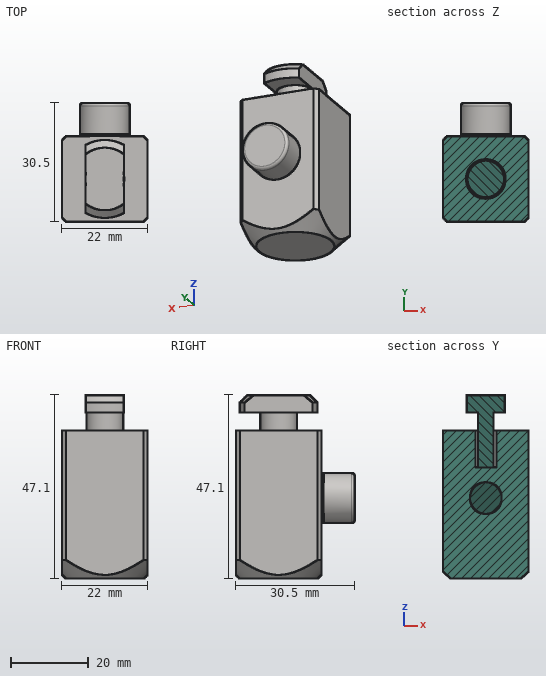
import cadquery as cq

side = 22.0
housing_height = 38.0
edge_bevel = 1.1
foot_radius = 10.05

total_height = 47.1
bolt_head_length = 20.0
bolt_head_width = 9.8
bolt_head_thickness = 4.5
bolt_head_chamfer = 2.0
stem_diameter = 9.5
bore_diameter = 10.05
bore_depth = 9.4

screw_z = 20.7
screw_reach = 8.53
screw_head_diameter = 12.85
screw_head_length = 8.0
screw_head_round = 0.8
shank_diameter = 8.0
shank_depth = 7.05

bolt_head_base = total_height - bolt_head_thickness
bore_floor = housing_height - bore_depth
back_face = side / 2


def along_y(diameter, start, end):
    """Cylinder on the screw axis between two Y positions."""
    plane = cq.Plane(origin=(0, start, screw_z), xDir=(1, 0, 0), normal=(0, 1, 0))
    return cq.Workplane(plane).circle(diameter / 2).extrude(end - start)


def upright_cylinder(diameter, bottom, top):
    """Cylinder on the Z axis between two heights."""
    return cq.Workplane("XY").workplane(offset=bottom).circle(diameter / 2).extrude(top - bottom)


def make_housing():
    block = cq.Workplane("XY").rect(side, side).extrude(housing_height)
    block = block.edges("|Z").chamfer(edge_bevel)

    envelope_radius = side
    envelope = (
        cq.Workplane("XZ")
        .polyline([
            (0, 0),
            (foot_radius, 0),
            (envelope_radius, envelope_radius - foot_radius),
            (envelope_radius, housing_height),
            (0, housing_height),
        ])
        .close()
        .revolve(360, (0, 0), (0, 1))
    )
    bolt_bore = upright_cylinder(bore_diameter, bore_floor, housing_height)
    screw_hole = along_y(shank_diameter, back_face - shank_depth, back_face)
    return block.intersect(envelope).cut(bolt_bore).cut(screw_hole)


def make_t_bolt():
    disc = upright_cylinder(bolt_head_length, bolt_head_base, total_height)
    disc = disc.faces(">Z").edges().chamfer(bolt_head_chamfer)
    flats = (
        cq.Workplane("XY")
        .workplane(offset=bolt_head_base)
        .rect(bolt_head_width, bolt_head_length)
        .extrude(bolt_head_thickness)
    )
    stem = upright_cylinder(stem_diameter, bore_floor, bolt_head_base)
    return disc.intersect(flats).union(stem)


def make_cap_screw():
    head_end = back_face + screw_reach
    head_start = head_end - screw_head_length
    head = along_y(screw_head_diameter, head_start, head_end)
    head = head.faces(">Y").edges().fillet(screw_head_round)
    shank = along_y(shank_diameter, back_face - shank_depth, head_start)
    return head.union(shank)


housing = make_housing()
t_bolt = make_t_bolt()
cap_screw = make_cap_screw()

result = cq.Compound.makeCompound([housing.val(), t_bolt.val(), cap_screw.val()])